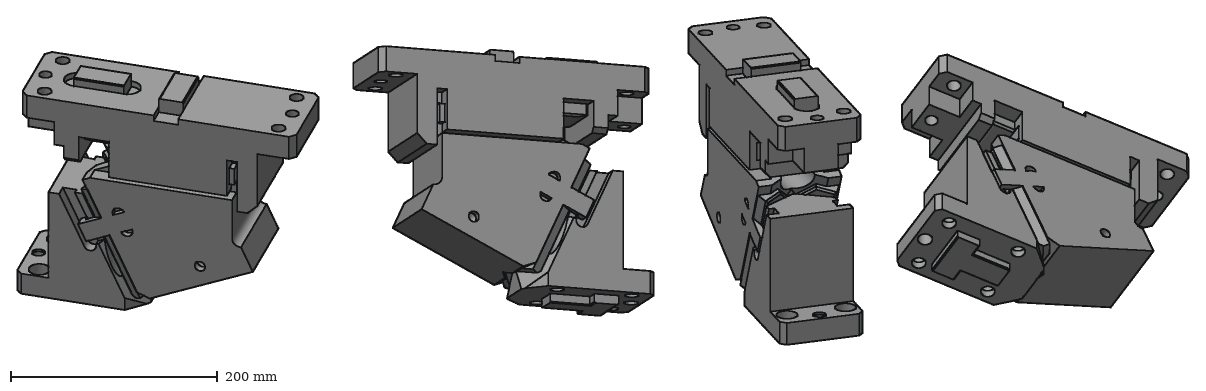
import cadquery as cq
import math


WIDTH = 85.0
HALF_WIDTH = WIDTH / 2
LENGTH = 282.0
FAR = 564.0

INCLINE = 25.0
COS_INCLINE = math.cos(math.radians(INCLINE))
SIN_INCLINE = math.sin(math.radians(INCLINE))

V_SLOPE = math.tan(math.radians(30))
RIDGE_EDGE = 105.5
RIDGE_TOP = RIDGE_EDGE + HALF_WIDTH * V_SLOPE

KEY_LENGTH = 50.8
KEY_WIDTH = 24.8
KEY_HEIGHT = 9.0
KEY_CHAMFER = 1.0

BOLT_HOLE = 13.5
BOLT_SPACING = 59.8


def incline_point(reach, rise):
    """X and Z of a point given in the incline frame."""
    x = reach * COS_INCLINE - rise * SIN_INCLINE
    z = reach * SIN_INCLINE + rise * COS_INCLINE
    return x, z


def x_at(reach, z):
    """X of the point at height z on the line of constant reach."""
    return (reach - z * SIN_INCLINE) / COS_INCLINE


def z_on_rise(rise, x):
    """Height at x of the line of constant rise."""
    return (rise + x * SIN_INCLINE) / COS_INCLINE


def incline_prism(points, low_rise, high_rise):
    """Prism along the V-ridge from an outline in (reach, y)."""
    plane = cq.Plane(
        origin=(0, 0, 0), xDir=(COS_INCLINE, 0, SIN_INCLINE), normal=(-SIN_INCLINE, 0, COS_INCLINE)
    )
    base = cq.Workplane(plane).workplane(offset=low_rise)
    return base.polyline(points).close().extrude(high_rise - low_rise)


def side_prism(points, y_near=-HALF_WIDTH, y_far=HALF_WIDTH):
    """Prism along Y from an outline in (x, z)."""
    base = cq.Workplane("XZ", origin=(0, y_near, 0))
    return base.polyline(points).close().extrude(y_near - y_far)


def box(x0, x1, y0, y1, z0, z1):
    return cq.Workplane("XY").box(x1 - x0, y1 - y0, z1 - z0, centered=False).translate((x0, y0, z0))


def upright_hole(diameter, x, y, z0=-FAR, z1=FAR):
    return cq.Workplane("XY", origin=(x, y, z0)).circle(diameter / 2).extrude(z1 - z0)


def both_sides(shape):
    return shape.union(shape.mirror("XZ"))


KEEPER_LOW = 34.0
KEEPER_HIGH = 54.0
KEEPER_TIP = 94.5
KEEPER_HOOK = 101.0
KEEPER_ROOT = 149.5
KEEPER_HOOK_Y = 31.0
KEEPER_ARM_Y = 35.8

FOOT_HEIGHT = 22.8
FOOT_LENGTH = 33.0
FOOT_CHAMFER = 5.4
DRIVER_LENGTH = 130.0
DRIVER_HEIGHT = 119.5
DRIVER_NOSE_CHAMFER = 20.0

SLOT_REACH = 90.2
SLOT_WIDTH = 12.5
SLOT_FLOOR_Y = 30.0
SLOT_END_RISE = 29.3
LIP_Y = 35.2
LIP_LOW = 28.2

FOOT_BOLT_X = 20.0
RIDGE_BOLT_X = 96.5
DRIVER_COUNTERBORE = 20.5
DRIVER_COUNTERBORE_FLOOR = 8.5
FOOT_DOWEL_X = 10.2
FOOT_DOWEL = 12.7
FOOT_DOWEL_RELIEF = 14.0
FOOT_DOWEL_LAND = 2.5

DRIVER_CROSS_KEY_X = 32.0
DRIVER_KEY_END = 97.3


def driver_keys():
    """A key across the seat and one behind it along X, forming a T."""
    cross = box(
        DRIVER_CROSS_KEY_X, DRIVER_CROSS_KEY_X + KEY_WIDTH, -KEY_LENGTH / 2, KEY_LENGTH / 2, -KEY_HEIGHT, 0
    ).faces("<Z").edges("|Y").chamfer(KEY_CHAMFER)
    along = box(
        DRIVER_KEY_END - KEY_LENGTH, DRIVER_KEY_END, -KEY_WIDTH / 2, KEY_WIDTH / 2, -KEY_HEIGHT, 0
    ).faces("<Z").edges("|X").chamfer(KEY_CHAMFER)
    return cross.union(along)


def keeper_slot():
    """Round-ended slot, open at the top, with a shallower step beside it for the keeper arm."""
    centre_reach = SLOT_REACH + SLOT_WIDTH / 2
    slot = incline_prism(
        [
            (SLOT_REACH, -SLOT_FLOOR_Y),
            (SLOT_REACH + SLOT_WIDTH, -SLOT_FLOOR_Y),
            (SLOT_REACH + SLOT_WIDTH, -FAR),
            (SLOT_REACH, -FAR),
        ],
        SLOT_END_RISE,
        FAR,
    )
    end_x, end_z = incline_point(centre_reach, SLOT_END_RISE)
    round_end = cq.Workplane("XZ", origin=(end_x, -SLOT_FLOOR_Y, end_z)).circle(SLOT_WIDTH / 2).extrude(FAR)
    step = incline_prism(
        [(centre_reach, -LIP_Y), (FAR, -LIP_Y), (FAR, -FAR), (centre_reach, -FAR)], LIP_LOW, FAR
    )
    return slot.union(round_end).union(step)


def make_driver():
    block = box(FOOT_LENGTH, DRIVER_LENGTH, -HALF_WIDTH, HALF_WIDTH, 0, DRIVER_HEIGHT)
    block = block.edges("|Z and >X").chamfer(DRIVER_NOSE_CHAMFER)
    foot = box(0, FOOT_LENGTH, -HALF_WIDTH, HALF_WIDTH, 0, FOOT_HEIGHT)
    foot = foot.edges("|Z and <X").chamfer(FOOT_CHAMFER)
    ridge = incline_prism(
        [
            (-FAR, -HALF_WIDTH),
            (RIDGE_EDGE, -HALF_WIDTH),
            (RIDGE_TOP, 0),
            (RIDGE_EDGE, HALF_WIDTH),
            (-FAR, HALF_WIDTH),
        ],
        -FAR,
        FAR,
    )
    driver = block.intersect(ridge).union(foot)
    driver = driver.cut(both_sides(keeper_slot()))

    for x in (FOOT_BOLT_X, RIDGE_BOLT_X):
        for y in (-BOLT_SPACING / 2, BOLT_SPACING / 2):
            driver = driver.cut(upright_hole(BOLT_HOLE, x, y))
            driver = driver.cut(upright_hole(DRIVER_COUNTERBORE, x, y, DRIVER_COUNTERBORE_FLOOR))
    driver = driver.cut(upright_hole(FOOT_DOWEL, FOOT_DOWEL_X, 0))
    driver = driver.cut(upright_hole(FOOT_DOWEL_RELIEF, FOOT_DOWEL_X, 0, 0, FOOT_HEIGHT - FOOT_DOWEL_LAND))
    return driver.union(driver_keys())


SLIDE_FACE = 120.0
SLIDE_REAR = 245.0
SLIDE_TOP_RISE = 98.0
SLIDE_BOTTOM_RISE = -41.5
SLIDE_CORNER_CHAMFER = 10.2
SLIDE_BACK_X = 218.5
SLIDE_SHOULDER_Z = 143.3
SHOULDER_X = (SLIDE_SHOULDER_Z * COS_INCLINE - SLIDE_TOP_RISE) / SIN_INCLINE
SLIDE_STEP_Z = 91.6
SLIDE_STEP_FILLET = 8.5

NECK_FRONT_X = 94.2
NECK_HALF_WIDTH = 27.0
HEAD_HALF_WIDTH = 35.0
HEAD_BOTTOM = 156.2
HEAD_TOP = 174.3

GROOVE_HALF_WIDTH = 28.8
GROOVE_BOTTOM = SLIDE_FACE + GROOVE_HALF_WIDTH * V_SLOPE

WEAR_TOP_RISE = 86.3
WEAR_BOTTOM_RISE = -39.0
WEAR_BACK_Y = 41.5
WEAR_FRONT_Y = 35.5
WEAR_EDGE_CHAMFER = 2.0
WEAR_END_CHAMFER = 6.2
RIM_END_Y = 2.8
RIM_LOW_Z = 42.3

BORE_DIAMETER = 34.5
BORE_Z = 140.2
BORE_FLOOR_X = 169.2
BORE_CLEARANCE = 20.3

SLIDE_POCKET_REACH = 139.5
SLIDE_POCKET_WIDTH = 12.0
KEEPER_DEPTH = HALF_WIDTH - KEEPER_ARM_Y

SIDE_HOLE = 10.5
SIDE_HOLE_X = 186.0
SIDE_HOLE_Z = 63.0
SIDE_HOLE_DEPTH = 8.5
SIDE_HOLE_TIP = 3.5


def slide_body():
    chamfer_start = SLIDE_BOTTOM_RISE + SLIDE_CORNER_CHAMFER
    body = side_prism(
        [
            incline_point(SLIDE_FACE, SLIDE_TOP_RISE),
            (SHOULDER_X, SLIDE_SHOULDER_Z),
            (SLIDE_BACK_X, SLIDE_SHOULDER_Z),
            (SLIDE_BACK_X, SLIDE_STEP_Z),
            (x_at(SLIDE_REAR, SLIDE_STEP_Z), SLIDE_STEP_Z),
            incline_point(SLIDE_REAR, SLIDE_BOTTOM_RISE),
            incline_point(SLIDE_FACE + SLIDE_CORNER_CHAMFER, SLIDE_BOTTOM_RISE),
            incline_point(SLIDE_FACE, chamfer_start),
        ]
    )
    step_corner = cq.selectors.NearestToPointSelector((SLIDE_BACK_X, 0, SLIDE_STEP_Z))
    return body.edges(step_corner).fillet(SLIDE_STEP_FILLET)


def slide_neck():
    """Neck and T-head that hang the slide in the holder."""
    neck = side_prism(
        [
            (SHOULDER_X, SLIDE_SHOULDER_Z),
            (NECK_FRONT_X, z_on_rise(SLIDE_TOP_RISE, NECK_FRONT_X)),
            (NECK_FRONT_X, HEAD_BOTTOM),
            (SLIDE_BACK_X, HEAD_BOTTOM),
            (SLIDE_BACK_X, SLIDE_SHOULDER_Z),
        ],
        -NECK_HALF_WIDTH,
        NECK_HALF_WIDTH,
    )
    head = box(NECK_FRONT_X, SLIDE_BACK_X, -HEAD_HALF_WIDTH, HEAD_HALF_WIDTH, HEAD_BOTTOM, HEAD_TOP)
    return neck.union(head)


def ridge_reach(y):
    """Reach of the driver's V-ridge at distance y from the middle plane."""
    return RIDGE_TOP - y * V_SLOPE


def wear_plates():
    """Two plates meeting in a V, resting on the driver's ridge."""
    plate = incline_prism(
        [
            (RIDGE_TOP, 0),
            (ridge_reach(WEAR_FRONT_Y), -WEAR_FRONT_Y),
            (SLIDE_FACE, -WEAR_BACK_Y),
            (SLIDE_FACE + WEAR_BACK_Y * V_SLOPE, 0),
        ],
        WEAR_BOTTOM_RISE,
        WEAR_TOP_RISE,
    )
    bevel = BORE_CLEARANCE * math.sqrt(2)
    bore_bevel = (
        cq.Workplane("YZ", origin=(0, 0, BORE_Z))
        .polyline([(-bevel, 0), (0, bevel), (bevel, 0), (0, -bevel)])
        .close()
        .extrude(NECK_FRONT_X)
    )
    plate = plate.cut(plate_end_chamfer()).cut(bore_bevel)
    return both_sides(chamfer_contact_rim(plate))


def plate_end_chamfer():
    """Cutter, running along the contact face, for the chamfer at a plate's lower end."""
    reach = ridge_reach(HALF_WIDTH)
    corners = [
        (reach, WEAR_BOTTOM_RISE),
        (reach + WEAR_END_CHAMFER, WEAR_BOTTOM_RISE),
        (reach, WEAR_BOTTOM_RISE + WEAR_END_CHAMFER),
    ]
    points = []
    for corner in corners:
        x, z = incline_point(*corner)
        points.append(cq.Vector(x, -HALF_WIDTH, z))
    outline = cq.Wire.makePolygon(points, close=True)
    ridge_x, ridge_z = incline_point(HALF_WIDTH * V_SLOPE, 0)
    return cq.Workplane(cq.Solid.extrudeLinear(outline, [], cq.Vector(ridge_x, HALF_WIDTH, ridge_z)))


def chamfer_contact_rim(plate):
    """Chamfer a plate's contact face at its top end, its outer edge and the bore bevel."""
    middle_reach = ridge_reach(WEAR_FRONT_Y / 2)
    x, z = incline_point(middle_reach, 0)
    contact = plate.faces(cq.selectors.NearestToPointSelector((x, -WEAR_FRONT_Y / 2, z)))
    rim = contact.edges().filter(lambda edge: edge.Center().y < -RIM_END_Y and edge.Center().z > RIM_LOW_Z)
    return rim.chamfer(WEAR_EDGE_CHAMFER)


def keeper():
    return incline_prism(
        [
            (KEEPER_TIP, -HALF_WIDTH),
            (KEEPER_ROOT, -HALF_WIDTH),
            (KEEPER_ROOT, -KEEPER_ARM_Y),
            (KEEPER_HOOK, -KEEPER_ARM_Y),
            (KEEPER_HOOK, -KEEPER_HOOK_Y),
            (KEEPER_TIP, -KEEPER_HOOK_Y),
        ],
        KEEPER_LOW,
        KEEPER_HIGH,
    )


def keeper_pocket():
    """Round-ended pocket showing a half circle above and below the keeper."""
    x, z = incline_point(SLIDE_POCKET_REACH, (KEEPER_LOW + KEEPER_HIGH) / 2)
    length = KEEPER_HIGH - KEEPER_LOW + SLIDE_POCKET_WIDTH
    return (
        cq.Workplane("XZ", origin=(x, -HALF_WIDTH, z))
        .slot2D(length, SLIDE_POCKET_WIDTH, 90 + INCLINE)
        .extrude(-KEEPER_DEPTH)
    )


def side_hole():
    """Blind hole with a conical tip."""
    radius = SIDE_HOLE / 2
    return (
        cq.Workplane("XY", origin=(SIDE_HOLE_X, -HALF_WIDTH, SIDE_HOLE_Z))
        .polyline([(0, 0), (radius, 0), (radius, SIDE_HOLE_DEPTH), (0, SIDE_HOLE_DEPTH + SIDE_HOLE_TIP)])
        .close()
        .revolve(360, (0, 0, 0), (0, 1, 0))
    )


def make_slide():
    groove = incline_prism(
        [(SLIDE_FACE, -GROOVE_HALF_WIDTH), (GROOVE_BOTTOM, 0), (SLIDE_FACE, GROOVE_HALF_WIDTH)], -FAR, FAR
    )
    bore = cq.Workplane("YZ", origin=(0, 0, BORE_Z)).circle(BORE_DIAMETER / 2).extrude(BORE_FLOOR_X)
    slide = slide_body().union(slide_neck()).cut(groove).union(wear_plates()).cut(bore)
    slide = slide.cut(both_sides(keeper_pocket())).cut(both_sides(side_hole()))
    return slide.union(both_sides(keeper()))


HOLDER_LEFT = 5.0
PLATE_TOP = 225.0
PLATE_BOTTOM = 200.0
HOLDER_CHAMFER = 6.0
BODY_BOTTOM = HEAD_TOP

NOSE_HALF_WIDTH = 17.2
NOSE_RIGHT = 39.0
HOOK_LEFT = 48.5
HOOK_RIGHT = 63.5
HOOK_BOTTOM = 156.2
HOOK_CHAMFER = 5.0
FLANGE_LEFT = NECK_FRONT_X
FLANGE_RIGHT = 213.5
FLANGE_BOTTOM = 147.2
FLANGE_INNER_Y = 28.0
WINDOW_TOP = 187.2
LEG_LEFT = 223.5
LEG_RIGHT = 244.2
LEG_BOTTOM = 131.5
LEG_CHAMFER = 10.0

BAR_HALF_WIDTH = 27.0
BAR_CHAMFER = 2.3
BAR_LEAD_IN = 10.2

KEY_TOP = PLATE_TOP + KEY_HEIGHT
HOLDER_KEY_X = 49.4
KEY_POCKET_LENGTH = 76.7
KEY_POCKET_DEPTH = 6.2
CROSS_KEY_X = 139.3

HOLDER_BOLT_INSET = 20.3
LEFT_DOWEL_X = 17.2
RIGHT_DOWEL_X = 266.5
HOLDER_DOWEL = 12.5


def holder_body():
    body = side_prism(
        [
            (NOSE_RIGHT, PLATE_TOP),
            (LEG_RIGHT, PLATE_TOP),
            (LEG_RIGHT, LEG_BOTTOM + LEG_CHAMFER),
            (LEG_RIGHT - LEG_CHAMFER, LEG_BOTTOM),
            (LEG_LEFT, LEG_BOTTOM),
            (LEG_LEFT, WINDOW_TOP),
            (FLANGE_RIGHT, WINDOW_TOP),
            (FLANGE_RIGHT, FLANGE_BOTTOM),
            (FLANGE_LEFT, FLANGE_BOTTOM),
            (FLANGE_LEFT, WINDOW_TOP),
            (HOOK_RIGHT, WINDOW_TOP),
            (HOOK_RIGHT, BODY_BOTTOM),
            (NOSE_RIGHT, BODY_BOTTOM),
        ]
    )
    plate = box(HOLDER_LEFT, LENGTH, -HALF_WIDTH, HALF_WIDTH, PLATE_BOTTOM, PLATE_TOP)
    plate = plate.edges("|Z").chamfer(HOLDER_CHAMFER)
    nose = box(HOLDER_LEFT, NOSE_RIGHT, -NOSE_HALF_WIDTH, NOSE_HALF_WIDTH, BODY_BOTTOM, PLATE_BOTTOM)
    hook = box(HOOK_LEFT, HOOK_RIGHT, -HALF_WIDTH, HALF_WIDTH, HOOK_BOTTOM, BODY_BOTTOM)
    hook = hook.faces("<Z").edges("|X").chamfer(HOOK_CHAMFER)
    return body.union(plate).union(nose).union(hook)


def t_slot():
    neck_slot = box(FLANGE_LEFT, FLANGE_RIGHT, -FLANGE_INNER_Y, FLANGE_INNER_Y, FLANGE_BOTTOM, HEAD_BOTTOM)
    head_slot = box(FLANGE_LEFT, FLANGE_RIGHT, -HEAD_HALF_WIDTH, HEAD_HALF_WIDTH, HEAD_BOTTOM, HEAD_TOP)
    return neck_slot.union(head_slot)


def guide_bar():
    bar = box(HOOK_RIGHT, LEG_LEFT, -BAR_HALF_WIDTH, BAR_HALF_WIDTH, HEAD_TOP, WINDOW_TOP)
    bar = bar.faces("<Z").edges("|X").chamfer(BAR_CHAMFER)
    bar = bar.edges("|Z and <X").chamfer(BAR_CHAMFER)
    lead_in = side_prism(
        [
            (HOOK_RIGHT, HEAD_TOP),
            (HOOK_RIGHT + BAR_LEAD_IN, HEAD_TOP),
            (HOOK_RIGHT, HEAD_TOP + BAR_CHAMFER),
        ]
    )
    return bar.cut(lead_in)


def cut_key_seats(holder):
    """Round-ended pocket along X and a groove across the full width."""
    floor = PLATE_TOP - KEY_POCKET_DEPTH
    pocket_x = HOLDER_KEY_X + KEY_LENGTH / 2
    pocket = cq.Workplane("XY", origin=(pocket_x, 0, floor)).slot2D(KEY_POCKET_LENGTH, KEY_WIDTH).extrude(FAR)
    groove = box(CROSS_KEY_X, CROSS_KEY_X + KEY_WIDTH, -FAR, FAR, floor, PLATE_TOP)
    return holder.cut(pocket).cut(groove)


def holder_keys():
    floor = PLATE_TOP - KEY_POCKET_DEPTH
    along = box(
        HOLDER_KEY_X, HOLDER_KEY_X + KEY_LENGTH, -KEY_WIDTH / 2, KEY_WIDTH / 2, floor, KEY_TOP
    ).faces(">Z").edges("|X").chamfer(KEY_CHAMFER)
    cross = box(
        CROSS_KEY_X, CROSS_KEY_X + KEY_WIDTH, -KEY_LENGTH / 2, KEY_LENGTH / 2, floor, KEY_TOP
    ).faces(">Z").edges("|Y").chamfer(KEY_CHAMFER)
    return along.union(cross)


def make_holder():
    holder = holder_body().cut(t_slot()).union(guide_bar())
    holder = cut_key_seats(holder).union(holder_keys())
    for x in (HOLDER_LEFT + HOLDER_BOLT_INSET, LENGTH - HOLDER_BOLT_INSET):
        for y in (-BOLT_SPACING / 2, BOLT_SPACING / 2):
            holder = holder.cut(upright_hole(BOLT_HOLE, x, y))
    for x in (LEFT_DOWEL_X, RIGHT_DOWEL_X):
        holder = holder.cut(upright_hole(HOLDER_DOWEL, x, 0))
    return holder


driver = make_driver()
slide = make_slide()
holder = make_holder()

result = cq.Compound.makeCompound([driver.solids().val(), slide.solids().val(), holder.solids().val()])